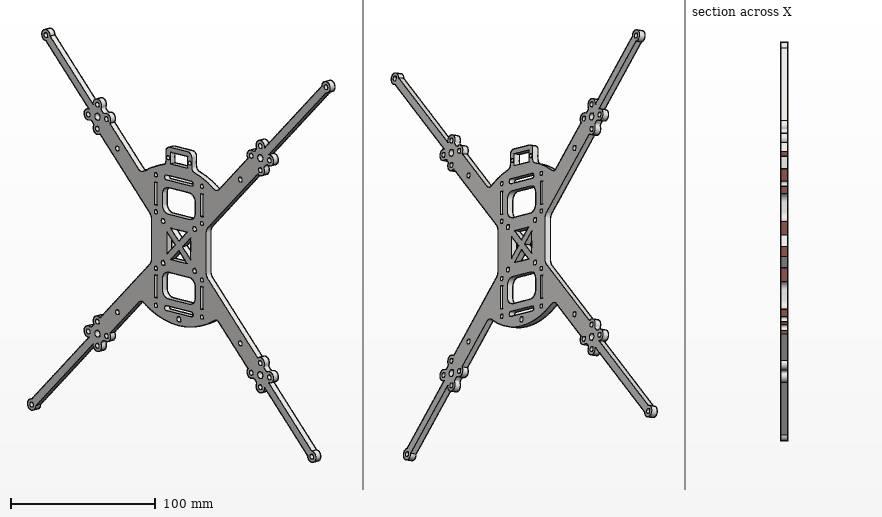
import cadquery as cq
import math

overall = 289.2
thickness = 5.0
diagonal = math.sqrt(2)

pad_radius = 4.0
screw_diameter = 3.5
tip_long = overall / 2 - pad_radius
tip_short = 127.0
motor_offset = 77.8
motor_screw_radius = 8.7
motor_bore = 5.0
motor_fillet = 1.7
arm_hole_offset = 58.7
arm_width = 13.3
rod_width = 5.8

body_width = 52.4
body_half_height = 57.3
lobe_radius = 60.7
lobe_half_width = 37.5
waist_fillet = 5.8
notch_fillet = 3.8

loop_width = 25.0
loop_top = 69.0
loop_fillet = 3.8
loop_base_fillet = 3.5
loop_window_width = 16.2
loop_window_bottom = 57.3
loop_window_top = 65.7
loop_hole_diameter = 3.0
loop_hole_height = 61.3

window_width = 31.2
window_bottom = 20.8
window_top = 40.0
window_fillet = 5.8
cross_slot_length = 27.2
cross_slot_width = 3.5
cross_slot_height = 47.0
side_column = 22.0
side_slot_width = 2.0
side_slot_bottom = 25.2
side_slot_top = 41.5
side_hole_heights = (20.2, 47.0)
side_hole_diameter = 3.0
board_hole_offset = 15.0
board_hole_diameter = 3.5
truss_size = 22.5
truss_bar_width = 5.0
tail_hole_height = 52.5
tail_hole_diameter = 3.8

arms = [(45, tip_long), (135, tip_short), (225, tip_long), (315, tip_short)]

motor_distance = motor_offset * diagonal
screw_reach = motor_screw_radius / diagonal
motor_screws = [
    (motor_distance + sx * screw_reach, sz * screw_reach) for sx in (-1, 1) for sz in (-1, 1)
]


def sketch_plane():
    """XZ plane on the back face; extrusion runs toward -Y."""
    return cq.Workplane("XZ", origin=(0, thickness / 2, 0))


def box(width, bottom, top, x=0.0):
    return sketch_plane().center(x, (bottom + top) / 2).rect(width, top - bottom).extrude(thickness)


def disks(points, diameter):
    return sketch_plane().pushPoints(points).circle(diameter / 2).extrude(thickness)


def turned(shape, angle):
    """Turn about the plate's normal, from +X toward +Z."""
    return shape.rotate((0, 0, 0), (0, -1, 0), angle)


def mirrored_points(x, z):
    """The point and its reflections in both axes."""
    return [(sx * x, sz * z) for sx in (-1, 1) for sz in (-1, 1)]


def round_corners(shape, points, radius):
    """Fillet the edges through the plate at the given XZ points."""
    reach = 0.15
    for x, z in points:
        near = cq.selectors.BoxSelector(
            (x - reach, -thickness, z - reach), (x + reach, thickness, z + reach)
        )
        shape = shape.edges("|Y").edges(near).fillet(radius)
    return shape


def arm(tip):
    """Arm along +X: wide root, four motor pads, thin rod and tip pad."""
    root_end = motor_distance + screw_reach
    root = box(root_end, -arm_width / 2, arm_width / 2, root_end / 2)
    mount = root.union(disks(motor_screws, 2 * pad_radius))

    pad_half_chord = math.sqrt(pad_radius**2 - (arm_width / 2 - screw_reach) ** 2)
    notch = screw_reach - pad_half_chord
    corners = [(motor_distance + x, z) for x, z in mirrored_points(notch, arm_width / 2)]
    mount = round_corners(mount, corners, motor_fillet)

    tip_distance = tip * diagonal
    rod_length = tip_distance - motor_distance
    rod = box(rod_length, -rod_width / 2, rod_width / 2, motor_distance + rod_length / 2)
    return mount.union(rod).union(disks([(tip_distance, 0)], 2 * pad_radius))


def arm_holes(tip):
    screws = motor_screws + [(tip * diagonal, 0), (arm_hole_offset * diagonal, 0)]
    return disks(screws, screw_diameter).union(disks([(motor_distance, 0)], motor_bore))


def lobe_height(x):
    """Height of the upper body arc at x."""
    return body_half_height - lobe_radius + math.sqrt(lobe_radius**2 - x**2)


def body():
    """Waisted body with a shallow arc at the top and bottom."""
    waist_x = body_width / 2
    waist_z = waist_x - arm_width / diagonal
    lobe_z = lobe_height(lobe_half_width)
    return (
        sketch_plane()
        .moveTo(waist_x, -waist_z)
        .lineTo(waist_x, waist_z)
        .lineTo(lobe_half_width, lobe_z)
        .threePointArc((0, body_half_height), (-lobe_half_width, lobe_z))
        .lineTo(-waist_x, waist_z)
        .lineTo(-waist_x, -waist_z)
        .lineTo(-lobe_half_width, -lobe_z)
        .threePointArc((0, -body_half_height), (lobe_half_width, -lobe_z))
        .close()
        .extrude(thickness)
    )


def frame():
    """Body, arms and strap loop, with rounded joints and no openings."""
    shape = body()
    for angle, tip in arms:
        shape = shape.union(turned(arm(tip), angle))

    edge_offset = arm_width / diagonal
    waist_x = body_width / 2
    shape = round_corners(shape, mirrored_points(waist_x, waist_x - edge_offset), waist_fillet)

    rise = edge_offset - (body_half_height - lobe_radius)
    notch_x = (math.sqrt(2 * lobe_radius**2 - rise**2) - rise) / 2
    shape = round_corners(shape, mirrored_points(notch_x, notch_x + edge_offset), notch_fillet)

    half_loop = loop_width / 2
    loop = box(loop_width, 0, loop_top)
    loop = round_corners(loop, [(-half_loop, loop_top), (half_loop, loop_top)], loop_fillet)
    loop_base = lobe_height(half_loop)
    return round_corners(
        shape.union(loop), [(-half_loop, loop_base), (half_loop, loop_base)], loop_base_fillet
    )


def loop_openings():
    column = (loop_width + loop_window_width) / 4
    holes = disks([(-column, loop_hole_height), (column, loop_hole_height)], loop_hole_diameter)
    return holes.union(box(loop_window_width, loop_window_bottom, loop_window_top))


def body_openings():
    """Windows, slots and holes repeated above and below the center."""
    windows = (
        sketch_plane()
        .pushPoints([(0, side * (window_bottom + window_top) / 2) for side in (-1, 1)])
        .rect(window_width, window_top - window_bottom)
        .extrude(thickness)
        .edges("|Y")
        .fillet(window_fillet)
    )
    cross_slots = (
        sketch_plane()
        .pushPoints([(0, -cross_slot_height), (0, cross_slot_height)])
        .slot2D(cross_slot_length, cross_slot_width)
        .extrude(thickness)
    )
    side_slots = (
        sketch_plane()
        .pushPoints(mirrored_points(side_column, (side_slot_bottom + side_slot_top) / 2))
        .rect(side_slot_width, side_slot_top - side_slot_bottom)
        .extrude(thickness)
    )
    openings = windows.union(cross_slots).union(side_slots)
    for height in side_hole_heights:
        openings = openings.union(disks(mirrored_points(side_column, height), side_hole_diameter))
    board_holes = disks(mirrored_points(board_hole_offset, board_hole_offset), board_hole_diameter)
    tail_hole = disks([(0, -tail_hole_height)], tail_hole_diameter)
    return openings.union(board_holes).union(tail_hole)


def truss_openings():
    """Square opening less two diagonal bars, leaving four triangles."""
    opening = box(truss_size, -truss_size / 2, truss_size / 2)
    bar = box(2 * truss_size, -truss_bar_width / 2, truss_bar_width / 2)
    return opening.cut(turned(bar, 45)).cut(turned(bar, -45))


result = frame().cut(body_openings()).cut(truss_openings()).cut(loop_openings())
for angle, tip in arms:
    result = result.cut(turned(arm_holes(tip), angle))